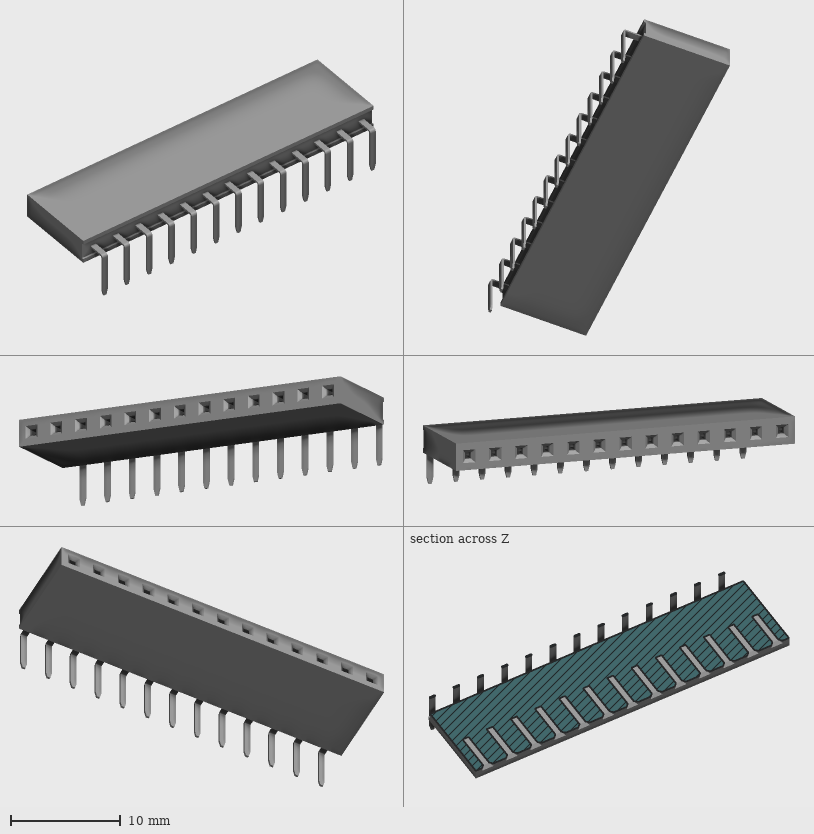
import cadquery as cq
import math


PITCH = 2.54
POSITIONS = 13

BODY_DEPTH = 8.5
BODY_HEIGHT = PITCH
BODY_LENGTH = POSITIONS * PITCH
REAR_LIP = 0.43
REAR_GROOVE_DEPTH = 0.2

MOUTH_SIZE = 1.2
THROAT_SIZE = 0.6
FUNNEL_DEPTH = 0.3
CONTACT_SETBACK = 0.8
SOCKET_DEPTH = 4.0

OVERALL_DEPTH = 10.13
OVERALL_HEIGHT = 5.84
CONTACT_WIDTH = 0.6
CONTACT_THICKNESS = 0.2
BEND_OUTER_RADIUS = 0.3
TIP_WIDTH = 0.3
TIP_LENGTH = 0.6

HALF_THICKNESS = CONTACT_THICKNESS / 2
BEND_INNER_RADIUS = BEND_OUTER_RADIUS - CONTACT_THICKNESS
TAIL_INNER_X = OVERALL_DEPTH - CONTACT_THICKNESS
TAIL_END_Z = BODY_HEIGHT / 2 - OVERALL_HEIGHT
BEND_CENTRE_X = OVERALL_DEPTH - BEND_OUTER_RADIUS
BEND_CENTRE_Z = HALF_THICKNESS - BEND_OUTER_RADIUS
CONTACT_YS = [(i - (POSITIONS - 1) / 2) * PITCH for i in range(POSITIONS)]


def housing():
    """Rectangular block with a full-length groove in its rear (+X) face."""
    block = cq.Workplane("XY").box(BODY_DEPTH, BODY_LENGTH, BODY_HEIGHT, centered=(False, True, True))
    groove = (
        cq.Workplane("XY")
        .box(REAR_GROOVE_DEPTH, BODY_LENGTH, BODY_HEIGHT - 2 * REAR_LIP, centered=(False, True, True))
        .translate((BODY_DEPTH - REAR_GROOVE_DEPTH, 0, 0))
    )
    return block.cut(groove)


def socket():
    """Cavity at Y = 0: a square funnel leading into a square throat."""
    funnel = (
        cq.Workplane("YZ")
        .rect(MOUTH_SIZE, MOUTH_SIZE)
        .workplane(offset=FUNNEL_DEPTH)
        .rect(THROAT_SIZE, THROAT_SIZE)
        .loft(ruled=True)
    )
    throat = cq.Workplane("YZ").rect(THROAT_SIZE, THROAT_SIZE).extrude(SOCKET_DEPTH)
    return funnel.union(throat)


def bend_point(radius):
    """Midpoint (X, Z) of the bend arc with the given radius."""
    offset = radius * math.sqrt(0.5)
    return BEND_CENTRE_X + offset, BEND_CENTRE_Z + offset


def contact():
    """Flat strip at Y = 0, bent down behind the housing and tapered at its tip."""
    half_width = CONTACT_WIDTH / 2
    half_tip = TIP_WIDTH / 2
    taper_start_z = TAIL_END_Z + TIP_LENGTH
    strip = (
        cq.Workplane("XZ")
        .moveTo(CONTACT_SETBACK, HALF_THICKNESS)
        .lineTo(BEND_CENTRE_X, HALF_THICKNESS)
        .threePointArc(bend_point(BEND_OUTER_RADIUS), (OVERALL_DEPTH, BEND_CENTRE_Z))
        .lineTo(OVERALL_DEPTH, TAIL_END_Z)
        .lineTo(TAIL_INNER_X, TAIL_END_Z)
        .lineTo(TAIL_INNER_X, BEND_CENTRE_Z)
        .threePointArc(bend_point(BEND_INNER_RADIUS), (BEND_CENTRE_X, -HALF_THICKNESS))
        .lineTo(CONTACT_SETBACK, -HALF_THICKNESS)
        .close()
        .extrude(half_width, both=True)
    )
    for side in (-1, 1):
        corner = (
            cq.Workplane("YZ", origin=(TAIL_INNER_X, 0, 0))
            .moveTo(side * half_width, taper_start_z)
            .lineTo(side * half_width, TAIL_END_Z)
            .lineTo(side * half_tip, TAIL_END_Z)
            .close()
            .extrude(CONTACT_THICKNESS)
        )
        strip = strip.cut(corner)
    return strip


def at_each_position(shape):
    """Copies of a shape, one at every position of the row."""
    return [shape.translate((0, y, 0)) for y in CONTACT_YS]


result = housing()
for cavity in at_each_position(socket()):
    result = result.cut(cavity)
for strip in at_each_position(contact()):
    result = result.union(strip)